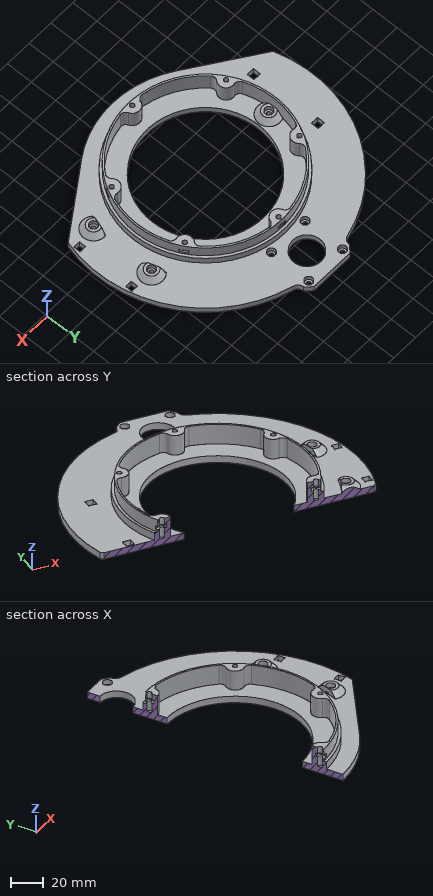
import cadquery as cq
import math

plate_thickness = 5.0
plate_radius = 98.3
front_radius = 77.0
flank_corner_y = -29.0
bore_diameter = 96.0

tab_half_width = 21.0
tab_end_y = 104.8
tab_chamfer = 4.5
tab_root_fillet = 5.0

shaft_hole_diameter = 23.0
shaft_center_y = 84.0
shaft_screw_pitch = 30.9
screw_hole_diameter = 3.1
screw_head_diameter = 6.0
screw_head_depth = 3.5

ring_top = 18.9
step_top = 10.2
step_diameter = 130.8
ring_diameter = 126.9
ring_inner_diameter = 124.3

lug_count = 6
lug_first_angle = 30.0
lug_circle_radius = 60.5
lug_radius = 5.9
lug_fillet = 4.0
lug_hole_diameter = 3.1
nut_slot_width = 5.9
nut_slot_height = 2.0
nut_slot_bottom = 12.0
nut_slot_inner_radius = lug_circle_radius - nut_slot_width / 2

boss_top = 9.0
boss_base_radius = 9.0
boss_top_radius = 5.1
boss_clearance_radius = 76.3
outer_boss_x = 76.0
outer_boss_y = 24.0
inner_boss_x = -58.0

left_square_size = 5.5
left_square_x = -73.5
left_square_y = 26.5
right_square_size = 5.0
right_square_x = 91.5
right_square_y = 21.5


def cylinder(diameter, bottom, top, x=0.0, y=0.0):
    """Vertical cylinder between two heights."""
    return cq.Workplane("XY", origin=(x, y, bottom)).circle(diameter / 2).extrude(top - bottom)


def screw_cutter(x, y, top):
    """Through hole with a head recess sunk below the given top face."""
    shank = cylinder(screw_hole_diameter, 0, top, x, y)
    head = cylinder(screw_head_diameter, top - screw_head_depth, top, x, y)
    return shank.union(head)


def make_plate():
    """Plate outline: large rim, two flanks tangent to the front rim, and the tab."""
    corner_x = math.sqrt(plate_radius**2 - flank_corner_y**2)
    tangent_angle = math.atan2(flank_corner_y, corner_x) - math.acos(front_radius / plate_radius)
    tangent_x = front_radius * math.cos(tangent_angle)
    tangent_y = front_radius * math.sin(tangent_angle)

    fillet_x = tab_half_width + tab_root_fillet
    fillet_center_radius = plate_radius + tab_root_fillet
    fillet_y = math.sqrt(fillet_center_radius**2 - fillet_x**2)
    rim_end_x = fillet_x * plate_radius / fillet_center_radius
    rim_end_y = fillet_y * plate_radius / fillet_center_radius
    middle_angle = math.pi + math.atan2(fillet_y, fillet_x) / 2
    fillet_mid_x = fillet_x + tab_root_fillet * math.cos(middle_angle)
    fillet_mid_y = fillet_y + tab_root_fillet * math.sin(middle_angle)

    tab_end_x = tab_half_width - tab_chamfer
    tab_side_y = tab_end_y - tab_chamfer
    outline = (
        cq.Workplane("XY")
        .moveTo(-tangent_x, tangent_y)
        .threePointArc((0, -front_radius), (tangent_x, tangent_y))
        .lineTo(corner_x, flank_corner_y)
        .threePointArc((plate_radius, 0), (rim_end_x, rim_end_y))
        .threePointArc((fillet_mid_x, fillet_mid_y), (tab_half_width, fillet_y))
        .lineTo(tab_half_width, tab_side_y)
        .lineTo(tab_end_x, tab_end_y)
        .lineTo(-tab_end_x, tab_end_y)
        .lineTo(-tab_half_width, tab_side_y)
        .lineTo(-tab_half_width, fillet_y)
        .threePointArc((-fillet_mid_x, fillet_mid_y), (-rim_end_x, rim_end_y))
        .threePointArc((-plate_radius, 0), (-corner_x, flank_corner_y))
        .close()
    )
    return outline.extrude(plate_thickness)


def make_lug():
    """Lug on the +X side with concave fillets running into the ring's inner wall."""
    wall_radius = ring_inner_diameter / 2
    from_axis = wall_radius - lug_fillet
    from_lug = lug_radius + lug_fillet
    center_x = (from_axis**2 + lug_circle_radius**2 - from_lug**2) / (2 * lug_circle_radius)
    center_y = math.sqrt(from_axis**2 - center_x**2)
    wall_x = center_x * wall_radius / from_axis
    wall_y = center_y * wall_radius / from_axis
    lug_x = lug_circle_radius + (center_x - lug_circle_radius) * lug_radius / from_lug
    lug_y = center_y * lug_radius / from_lug

    wall_angle = math.atan2(center_y, center_x)
    lug_angle = math.atan2(-center_y, lug_circle_radius - center_x)
    middle_angle = (wall_angle + lug_angle) / 2
    middle_x = center_x + lug_fillet * math.cos(middle_angle)
    middle_y = center_y + lug_fillet * math.sin(middle_angle)

    buried_radius = (ring_inner_diameter + ring_diameter) / 4
    return (
        cq.Workplane("XY")
        .moveTo(wall_x, wall_y)
        .threePointArc((middle_x, middle_y), (lug_x, lug_y))
        .threePointArc((lug_circle_radius - lug_radius, 0), (lug_x, -lug_y))
        .threePointArc((middle_x, -middle_y), (wall_x, -wall_y))
        .threePointArc((buried_radius, 0), (wall_x, wall_y))
        .close()
        .extrude(ring_top)
    )


def make_boss(x, y):
    """Truncated cone rising from the plate."""
    return (
        cq.Workplane("XY", origin=(x, y, plate_thickness))
        .circle(boss_base_radius)
        .workplane(offset=boss_top - plate_thickness)
        .circle(boss_top_radius)
        .loft()
    )


body = make_plate()
boss_clearance = cylinder(2 * boss_clearance_radius, plate_thickness, boss_top)
for side in (1, -1):
    body = body.union(make_boss(outer_boss_x, side * outer_boss_y).cut(boss_clearance))
ring_bore = cylinder(ring_inner_diameter, plate_thickness, ring_top)
body = body.union(cylinder(step_diameter, plate_thickness, step_top).cut(ring_bore))
body = body.union(cylinder(ring_diameter, plate_thickness, ring_top).cut(ring_bore))
body = body.union(make_boss(inner_boss_x, 0).intersect(ring_bore))

lug = make_lug()
lug_hole = cylinder(lug_hole_diameter, plate_thickness, ring_top, lug_circle_radius)
slot_length = step_diameter / 2 - nut_slot_inner_radius
nut_slot = (
    cq.Workplane("XY", origin=(nut_slot_inner_radius, 0, nut_slot_bottom))
    .box(slot_length, nut_slot_width, nut_slot_height, centered=(False, True, False))
)
lug_cutter = lug_hole.union(nut_slot)
for index in range(lug_count):
    angle = lug_first_angle + index * 360 / lug_count
    body = body.union(lug.rotate((0, 0, 0), (0, 0, 1), angle))
    body = body.cut(lug_cutter.rotate((0, 0, 0), (0, 0, 1), angle))

body = body.cut(cylinder(bore_diameter, 0, plate_thickness))
body = body.cut(cylinder(shaft_hole_diameter, 0, plate_thickness, 0, shaft_center_y))

half_pitch = shaft_screw_pitch / 2
for x in (-half_pitch, half_pitch):
    for y in (shaft_center_y - half_pitch, shaft_center_y + half_pitch):
        body = body.cut(screw_cutter(x, y, plate_thickness))
boss_centers = [(inner_boss_x, 0), (outer_boss_x, outer_boss_y), (outer_boss_x, -outer_boss_y)]
for x, y in boss_centers:
    body = body.cut(screw_cutter(x, y, boss_top))

square_pairs = [
    (left_square_size, left_square_x, left_square_y),
    (right_square_size, right_square_x, right_square_y),
]
for size, x, y in square_pairs:
    squares = cq.Workplane("XY").pushPoints([(x, y), (x, -y)]).rect(size, size).extrude(plate_thickness)
    body = body.cut(squares)

result = body